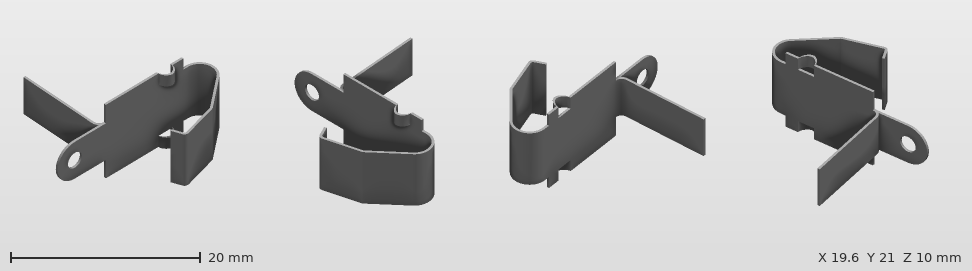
import cadquery as cq
import math

thickness = 0.3
plate_length = 11.25
plate_width = 10.0

tongue_width = 5.0
lug_length = 7.0
lug_radius = tongue_width / 2
hole_diameter = 2.0

arm_reach = 11.26
arm_bend_radius = 0.75

spring_width = 7.0
spring_start_y = 11.9
loop_inner_radius = 1.8
loop_turn = 141.0
upper_leg_length = 5.3
knee_inner_radius = 0.0
knee_turn = 24.0
lower_leg_length = 4.74
toe_inner_radius = 0.25
toe_turn = 82.5
toe_length = 1.35

bump_centre_y = 8.63
bump_half_span = 1.02
bump_depth = (plate_width - spring_width) / 2
bump_inner_shoulder = (0.88, 0.52)
bump_inner_crest = 1.1
bump_outer_shoulder = (1.05, 0.67)
bump_outer_crest = bump_inner_crest + thickness


def extrude_centred(sketch, width):
    """Extrude an XY outline symmetrically about Z = 0."""
    return sketch.extrude(width / 2, both=True)


def polar(centre, radius, degrees):
    angle = math.radians(degrees)
    return (centre[0] + radius * math.cos(angle), centre[1] + radius * math.sin(angle))


def make_plate():
    outline = cq.Workplane("XY").rect(thickness, plate_length, centered=False)
    return extrude_centred(outline, plate_width)


def make_lug():
    hole_y = lug_radius - lug_length
    lug = (
        cq.Workplane("YZ")
        .moveTo(0, lug_radius)
        .lineTo(hole_y, lug_radius)
        .threePointArc((-lug_length, 0), (hole_y, -lug_radius))
        .lineTo(0, -lug_radius)
        .close()
        .extrude(thickness)
    )
    hole = cq.Workplane("YZ").center(hole_y, 0).circle(hole_diameter / 2).extrude(thickness)
    return lug.cut(hole)


def make_arm():
    """Flat arm with a quarter-turn bend that runs into the plate at Y = 0."""
    bend_centre = (-arm_bend_radius, 0)
    outer_radius = arm_bend_radius + thickness
    outline = (
        cq.Workplane("XY")
        .moveTo(0, 0)
        .threePointArc(polar(bend_centre, arm_bend_radius, -45), (-arm_bend_radius, -arm_bend_radius))
        .lineTo(-arm_reach, -arm_bend_radius)
        .lineTo(-arm_reach, -outer_radius)
        .lineTo(-arm_bend_radius, -outer_radius)
        .threePointArc(polar(bend_centre, outer_radius, -45), (thickness, 0))
        .close()
    )
    return extrude_centred(outline, tongue_width)


def make_straight(inner_point, heading, length):
    """Straight strip piece; returns it with its end point on the inner face."""
    end_point = polar(inner_point, length, heading)
    outline = cq.Workplane("XY").polyline([
        inner_point,
        end_point,
        polar(end_point, thickness, heading + 90),
        polar(inner_point, thickness, heading + 90),
    ]).close()
    return extrude_centred(outline, spring_width), end_point


def make_bend(inner_point, heading, inner_radius, turn):
    """Clockwise strip bend; returns it with its end point on the inner face."""
    centre = polar(inner_point, inner_radius, heading - 90)
    outer_radius = inner_radius + thickness
    start = heading + 90
    middle = start - turn / 2
    end = start - turn
    end_point = polar(centre, inner_radius, end)
    outline = (
        cq.Workplane("XY")
        .moveTo(*inner_point)
        .lineTo(*polar(centre, outer_radius, start))
        .threePointArc(polar(centre, outer_radius, middle), polar(centre, outer_radius, end))
        .lineTo(*end_point)
    )
    if inner_radius > 0:
        outline = outline.threePointArc(polar(centre, inner_radius, middle), inner_point)
    return extrude_centred(outline.close(), spring_width), end_point


def make_spring():
    bends_and_legs = [
        (loop_inner_radius, loop_turn, upper_leg_length),
        (knee_inner_radius, knee_turn, lower_leg_length),
        (toe_inner_radius, toe_turn, toe_length),
    ]
    heading = 90.0
    root_length = spring_start_y - plate_length
    spring, point = make_straight((thickness, plate_length), heading, root_length)
    for inner_radius, turn, leg_length in bends_and_legs:
        bend, point = make_bend(point, heading, inner_radius, turn)
        heading -= turn
        leg, point = make_straight(point, heading, leg_length)
        spring = spring.union(bend).union(leg)
    return spring


def make_bump_fill(foot_x, shoulder, crest_x, bottom_z):
    """Solid under one smooth bump surface running foot, shoulder, crest, shoulder, foot."""
    shoulder_x, shoulder_y = shoulder
    surface_points = [
        (shoulder_x, -shoulder_y),
        (crest_x, 0),
        (shoulder_x, shoulder_y),
        (foot_x, bump_half_span),
    ]
    return (
        cq.Workplane("XY", origin=(0, bump_centre_y, bottom_z))
        .moveTo(foot_x, -bump_half_span)
        .spline(surface_points, includeCurrent=True)
        .close()
        .extrude(bump_depth)
    )


def add_bumps(body):
    for bottom_z in (spring_width / 2, -plate_width / 2):
        outer = make_bump_fill(thickness, bump_outer_shoulder, bump_outer_crest, bottom_z)
        inner = make_bump_fill(0, bump_inner_shoulder, bump_inner_crest, bottom_z)
        body = body.union(outer).cut(inner)
    return body


clip = make_plate().union(make_lug()).union(make_arm()).union(make_spring())
result = add_bumps(clip)